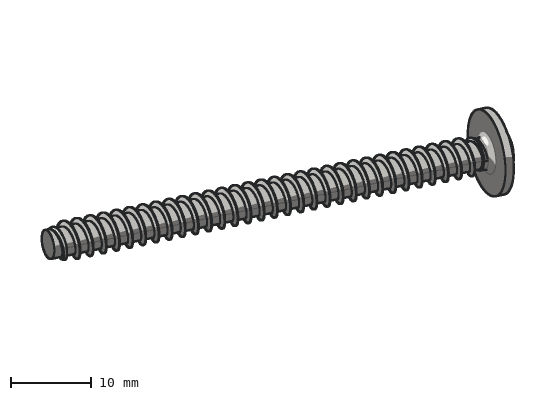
import cadquery as cq
import math


flange_diameter = 11.0
flange_thickness = 1.15
dome_diameter = 8.75
head_height = 3.14

shank_length = 60.0
core_diameter = 3.7
neck_diameter = 4.0
neck_fillet = 0.7
neck_length = 1.3
neck_taper_length = 0.15

thread_diameter = 5.0
pitch = 1.8
thread_turns = 33
thread_start_depth = 1.02
crest_width = 0.1
root_width = 0.66
root_overlap = 0.1

lead_in_start = 0.8
lead_in_length = 2.2
lead_out_gap = 0.2
lead_out_length = 2.5
envelope_clearance = 0.1

flange_radius = flange_diameter / 2
dome_radius = dome_diameter / 2
dome_height = head_height - flange_thickness
dome_sphere_radius = (dome_radius**2 + dome_height**2) / (2 * dome_height)
core_radius = core_diameter / 2
neck_radius = neck_diameter / 2
thread_radius = thread_diameter / 2
buried_radius = core_radius - root_overlap
envelope_radius = thread_radius + envelope_clearance


def make_head_and_shank():
    """Revolve the domed flange head, filleted neck and plain core."""
    half_dome_angle = math.asin(dome_radius / dome_sphere_radius) / 2
    sphere_center_height = head_height - dome_sphere_radius
    dome_mid = (
        dome_sphere_radius * math.sin(half_dome_angle),
        sphere_center_height + dome_sphere_radius * math.cos(half_dome_angle),
    )
    fillet_inset = neck_fillet * (1 - math.sqrt(0.5))
    fillet_mid = (neck_radius + fillet_inset, -fillet_inset)
    profile = (
        cq.Workplane("XZ")
        .moveTo(0, -shank_length)
        .lineTo(core_radius, -shank_length)
        .lineTo(core_radius, -neck_length - neck_taper_length)
        .lineTo(neck_radius, -neck_length)
        .lineTo(neck_radius, -neck_fillet)
        .threePointArc(fillet_mid, (neck_radius + neck_fillet, 0))
        .lineTo(flange_radius, 0)
        .lineTo(flange_radius, flange_thickness)
        .lineTo(dome_radius, flange_thickness)
        .threePointArc(dome_mid, (0, head_height))
        .close()
    )
    return profile.revolve(360, (0, 0, 0), (0, 1, 0))


def make_thread_ridge():
    """Enclose a right-hand ridge with ruled faces between four helices."""
    thread_length = thread_turns * pitch
    start_height = -thread_start_depth - thread_length
    flank_slope = (root_width - crest_width) / 2 / (thread_radius - core_radius)
    buried_half_width = root_width / 2 + flank_slope * root_overlap
    section = [
        (buried_radius, -buried_half_width),
        (thread_radius, -crest_width / 2),
        (thread_radius, crest_width / 2),
        (buried_radius, buried_half_width),
    ]
    helices = [
        cq.Wire.makeHelix(pitch, thread_length, radius, cq.Vector(0, 0, start_height + offset))
        for radius, offset in section
    ]
    faces = []
    for index, helix in enumerate(helices):
        previous_helix = helices[index - 1]
        faces.append(cq.Face.makeRuledSurface(previous_helix.Edges()[0], helix.Edges()[0]))
    for end_point in (cq.Wire.startPoint, cq.Wire.endPoint):
        corners = [end_point(helix) for helix in helices]
        faces.append(cq.Face.makeFromWires(cq.Wire.makePolygon(corners, close=True)))
    return cq.Workplane(obj=cq.Solid.makeSolid(cq.Shell.makeShell(faces)))


def make_thread_envelope():
    """Revolve the space the ridge may fill, tapered at both ends so the thread runs out."""
    top = -lead_in_start
    bottom = -shank_length + lead_out_gap
    profile = (
        cq.Workplane("XZ")
        .moveTo(0, bottom)
        .lineTo(buried_radius, bottom)
        .lineTo(envelope_radius, bottom + lead_out_length)
        .lineTo(envelope_radius, top - lead_in_length)
        .lineTo(neck_radius, top)
        .lineTo(0, top)
        .close()
    )
    return profile.revolve(360, (0, 0, 0), (0, 1, 0))


thread = make_thread_ridge().intersect(make_thread_envelope())
screw = make_head_and_shank().union(thread)
result = screw.solids().rotate((0, 0, 0), (1, 0, 0), -90)